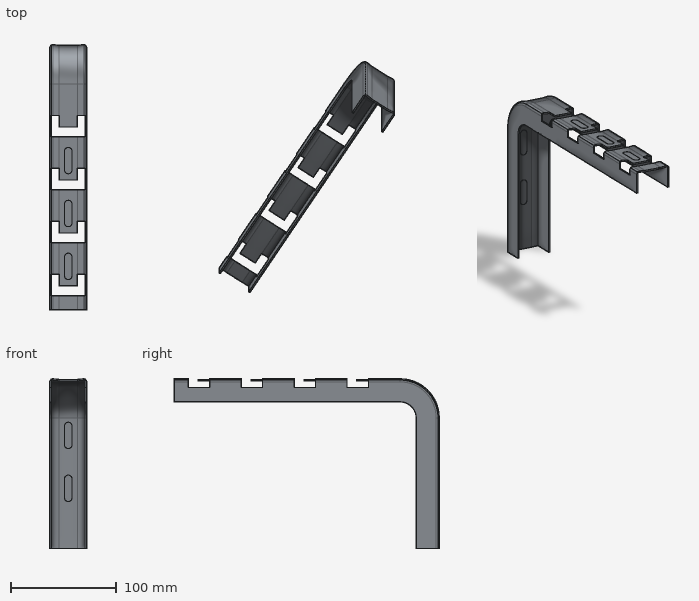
import cadquery as cq
import math

arm_length = 250.0
leg_height = 160.0
channel_width = 35.02
shoulder_rise = 0.62
sheet = 1.5
flange_depth = 22.0
flange_edge_depth = flange_depth - shoulder_rise
elbow_radius = 36.5

half_width = channel_width / 2
strip_half_width = 8.6
corner_radius = 3.0

notch_count = 4
notch_pitch = 50.0
notch_length = 20.0
first_notch = 13.5
notch_depth = 7.5
tongue_length = 11.0

slot_length = 25.0
slot_width = 7.0
slot_depth = 0.1
arm_slot_count = 3
first_arm_slot = 41.0
leg_slot_count = 2
first_leg_slot = 57.0
slot_pitch = 50.0


def slope_angle():
    """Angle of the web flank that rises from the strip and is tangent to the corner arc."""
    run = half_width - corner_radius - strip_half_width
    drop = corner_radius - shoulder_rise
    return math.atan2(run, drop) - math.acos(corner_radius / math.hypot(run, drop))


def channel_section():
    """Closed section at the free end: rounded outer corners, sharp inner corners."""
    angle = slope_angle()
    arc_x = half_width - corner_radius
    arc_z = shoulder_rise - corner_radius
    tangent_x = arc_x - corner_radius * math.sin(angle)
    tangent_z = arc_z + corner_radius * math.cos(angle)
    middle_angle = math.pi / 4 - angle / 2
    middle_x = arc_x + corner_radius * math.sin(middle_angle)
    middle_z = arc_z + corner_radius * math.cos(middle_angle)
    inner_x = half_width - sheet
    inner_corner_z = (inner_x - strip_half_width) * math.tan(angle) - sheet
    return (
        cq.Workplane("XZ", origin=(0, 0, leg_height))
        .moveTo(-strip_half_width, 0)
        .lineTo(strip_half_width, 0)
        .lineTo(tangent_x, tangent_z)
        .threePointArc((middle_x, middle_z), (half_width, arc_z))
        .lineTo(half_width, -flange_edge_depth)
        .lineTo(inner_x, -flange_edge_depth)
        .lineTo(inner_x, inner_corner_z)
        .lineTo(strip_half_width, -sheet)
        .lineTo(-strip_half_width, -sheet)
        .lineTo(-inner_x, inner_corner_z)
        .lineTo(-inner_x, -flange_edge_depth)
        .lineTo(-half_width, -flange_edge_depth)
        .lineTo(-half_width, arc_z)
        .threePointArc((-middle_x, middle_z), (-tangent_x, tangent_z))
        .close()
    )


def bent_channel():
    """Channel swept along the arm, round the elbow and down the leg."""
    elbow_y = arm_length - elbow_radius
    elbow_z = leg_height - elbow_radius
    reach = elbow_radius * math.sqrt(0.5)
    path = (
        cq.Workplane("YZ")
        .moveTo(0, leg_height)
        .lineTo(elbow_y, leg_height)
        .threePointArc((elbow_y + reach, elbow_z + reach), (arm_length, elbow_z))
        .lineTo(arm_length, 0)
    )
    return channel_section().sweep(path)


def notch_cutter(start):
    """Full-width notch starting at the given Y, sparing the tongue that enters from the elbow side."""
    height = notch_depth + 2 * shoulder_rise
    floor_z = leg_height - notch_depth
    block = cq.Workplane("XY").box(
        2 * channel_width, notch_length, height, centered=(True, False, False)
    ).translate((0, start, floor_z))
    tongue = cq.Workplane("XY").box(
        2 * strip_half_width, tongue_length, height, centered=(True, False, False)
    ).translate((0, start + notch_length - tongue_length, floor_z))
    return block.cut(tongue)


def arm_slot(centre_y):
    """Impression in the outer face of the arm."""
    return (
        cq.Workplane("XY", origin=(0, centre_y, leg_height))
        .slot2D(slot_length, slot_width, 90)
        .extrude(-slot_depth)
    )


def leg_slot(centre_z):
    """Impression in the inner face of the leg."""
    return (
        cq.Workplane("XZ", origin=(0, arm_length - sheet, centre_z))
        .slot2D(slot_length, slot_width, 90)
        .extrude(-slot_depth)
    )


result = bent_channel()
for index in range(notch_count):
    result = result.cut(notch_cutter(first_notch + index * notch_pitch))
for index in range(arm_slot_count):
    result = result.cut(arm_slot(first_arm_slot + index * slot_pitch))
for index in range(leg_slot_count):
    result = result.cut(leg_slot(first_leg_slot + index * slot_pitch))